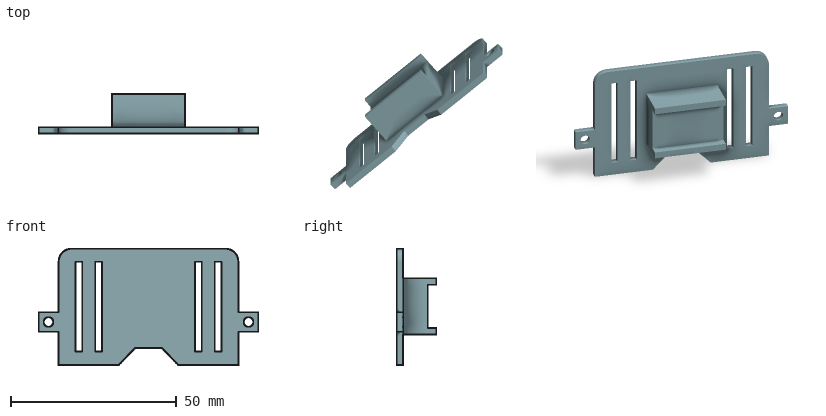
import cadquery as cq

total_width = 66.3
plate_width = 54.3
plate_height = 35.15
plate_thickness = 2.0
corner_radius = 4.0

ear_height = 6.0
ear_center_z = 13.0
ear_hole_diameter = 2.85
ear_hole_spacing = 60.3

slot_width = 2.0
slot_height = 27.0
slot_bottom_z = 4.1
slot_offsets = (15.05, 21.0)

notch_bottom_width = 18.05
notch_top_width = 8.0
notch_height = 5.1

total_depth = 12.0
block_width = 22.15
block_height = 17.0
block_bottom_z = 9.2
lip_thickness = 2.0
channel_depth = 2.6


def box(width, depth, height, x=0, y=0, z=0):
    """Box centred on x, starting at the given y and z."""
    return cq.Workplane("XY").box(width, depth, height, centered=(True, False, False)).translate((x, y, z))


def make_plate():
    plate = box(plate_width, plate_thickness, plate_height)
    plate = plate.edges("|Y and >Z").fillet(corner_radius)
    ears = box(total_width, plate_thickness, ear_height, z=ear_center_z - ear_height / 2)
    return plate.union(ears)


def make_ear_holes():
    half_spacing = ear_hole_spacing / 2
    return (
        cq.Workplane("XZ")
        .pushPoints([(-half_spacing, ear_center_z), (half_spacing, ear_center_z)])
        .circle(ear_hole_diameter / 2)
        .extrude(-plate_thickness)
    )


def make_notch():
    return (
        cq.Workplane("XZ")
        .moveTo(-notch_bottom_width / 2, 0)
        .lineTo(-notch_top_width / 2, notch_height)
        .lineTo(notch_top_width / 2, notch_height)
        .lineTo(notch_bottom_width / 2, 0)
        .close()
        .extrude(-plate_thickness)
    )


def make_block():
    block_depth = total_depth - plate_thickness
    block = box(block_width, block_depth, block_height, y=plate_thickness, z=block_bottom_z)
    channel = box(
        block_width,
        channel_depth,
        block_height - 2 * lip_thickness,
        y=total_depth - channel_depth,
        z=block_bottom_z + lip_thickness,
    )
    return block.cut(channel)


result = make_plate().cut(make_ear_holes()).cut(make_notch())
for offset in slot_offsets:
    for side in (-1, 1):
        slot = box(slot_width, plate_thickness, slot_height, x=side * offset, z=slot_bottom_z)
        result = result.cut(slot)
result = result.union(make_block())